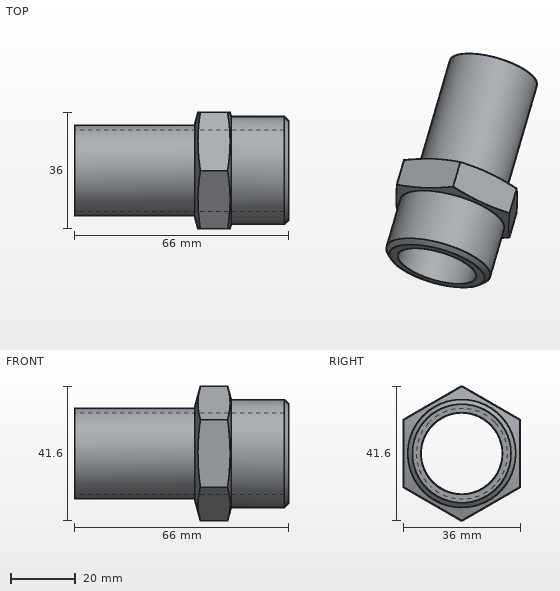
import cadquery as cq
import math

total_length = 66.0
bore_diameter = 25.0
pipe_diameter = 28.0
spigot_diameter = 33.25
hex_across_flats = 36.0
hex_start = 36.95
hex_end = 48.25
spigot_chamfer = 1.45
hex_bevel_angle = 15.0
hex_face_margin = 0.1

hex_corner_radius = hex_across_flats / math.sqrt(3)


def cylinder(diameter, start, end):
    """Solid cylinder along X between two stations."""
    return cq.Workplane("YZ", origin=(start, 0, 0)).circle(diameter / 2).extrude(end - start)


def bevel_depth(inner_radius):
    """Axial depth of a bevel running from inner_radius out to the hexagon corners."""
    return (hex_corner_radius - inner_radius) * math.tan(math.radians(hex_bevel_angle))


def beveled_hexagon():
    """Hexagon with corners on the Z axis, trimmed by a cone at each end."""
    prism = (
        cq.Workplane("YZ", origin=(hex_start, 0, 0))
        .polygon(6, 2 * hex_corner_radius)
        .extrude(hex_end - hex_start)
        .rotate((0, 0, 0), (1, 0, 0), 90)
    )
    pipe_side_radius = pipe_diameter / 2 + hex_face_margin
    spigot_side_radius = spigot_diameter / 2
    envelope = (
        cq.Workplane("XY")
        .moveTo(hex_start, 0)
        .lineTo(hex_start, pipe_side_radius)
        .lineTo(hex_start + bevel_depth(pipe_side_radius), hex_corner_radius)
        .lineTo(hex_end - bevel_depth(spigot_side_radius), hex_corner_radius)
        .lineTo(hex_end, spigot_side_radius)
        .lineTo(hex_end, 0)
        .close()
        .revolve(360, (0, 0, 0), (1, 0, 0))
    )
    return prism.intersect(envelope)


hex_middle = (hex_start + hex_end) / 2
pipe = cylinder(pipe_diameter, 0, hex_middle)
spigot = cylinder(spigot_diameter, hex_middle, total_length).faces(">X").chamfer(spigot_chamfer)
bore = cylinder(bore_diameter, 0, total_length)

result = beveled_hexagon().union(pipe).union(spigot).cut(bore)